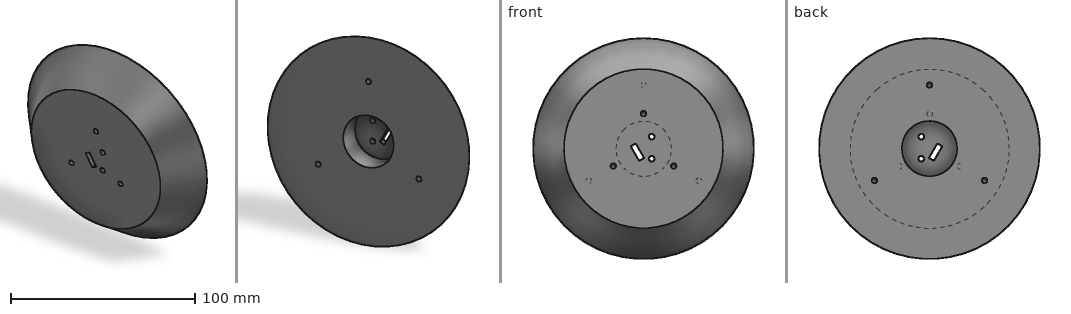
import cadquery as cq
import math

rim_diameter = 120.0
face_diameter = 86.4
thickness = 20.0
front_y = -thickness / 2
back_y = thickness / 2

pocket_diameter = 30.0
web_thickness = 4.5

drill_diameter = 3.0
drill_tip_angle = 118.0
drill_tip_length = drill_diameter / 2 / math.tan(math.radians(drill_tip_angle / 2))

screw_circle_radius = 19.0
screw_depth = 10.0

back_hole_circle_radius = 34.5
back_hole_tip_cover = 0.1

station_count = 3
station_angles = [90 + index * 360 / station_count for index in range(station_count)]

cable_hole_diameter = 3.0
cable_hole_x = 4.5
cable_hole_spacing = 12.0
cable_pair_z = 0.5

slot_length = 9.0
slot_width = 3.0
slot_offset = 3.8
slot_direction = 210.0


def polar(radius, angle):
    """X, Z position at a radius and an angle in degrees around the axis."""
    return radius * math.cos(math.radians(angle)), radius * math.sin(math.radians(angle))


def front_plane():
    """Plane on the front face: local x is X, local y is Z, normal points to -Y."""
    return cq.Workplane("XZ", origin=(0, front_y, 0))


def dish():
    """Solid truncated cone widening towards the back."""
    return (
        cq.Workplane("YZ")
        .moveTo(front_y, 0)
        .lineTo(front_y, face_diameter / 2)
        .lineTo(back_y, rim_diameter / 2)
        .lineTo(back_y, 0)
        .close()
        .revolve(360, (0, 0, 0), (1, 0, 0))
    )


def back_pocket():
    """Cylinder from the web to the back."""
    pocket_depth = thickness - web_thickness
    return cq.Workplane("XZ", origin=(0, back_y, 0)).circle(pocket_diameter / 2).extrude(pocket_depth)


def drill(depth):
    """Cylinder of the given depth along +Y from the origin, followed by a conical tip."""
    radius = drill_diameter / 2
    return (
        cq.Workplane("YZ")
        .lineTo(0, radius)
        .lineTo(depth, radius)
        .lineTo(depth + drill_tip_length, 0)
        .close()
        .revolve(360, (0, 0, 0), (1, 0, 0))
    )


def screw_hole(angle):
    """Blind hole drilled from the front face."""
    x, z = polar(screw_circle_radius, angle)
    return drill(screw_depth).translate((x, front_y, z))


def back_hole(angle):
    """Blind hole drilled from the back almost to the front face."""
    x, z = polar(back_hole_circle_radius, angle)
    depth = thickness - back_hole_tip_cover - drill_tip_length
    return drill(depth).mirror("XZ").translate((x, back_y, z))


def cable_holes():
    """Two round holes, one above the other."""
    centres = [(cable_hole_x, cable_pair_z + side * cable_hole_spacing / 2) for side in (-1, 1)]
    return front_plane().pushPoints(centres).circle(cable_hole_diameter / 2).extrude(-web_thickness)


def slot():
    """Rectangular slot with its long sides square to slot_direction."""
    return (
        front_plane()
        .center(*polar(slot_offset, slot_direction))
        .transformed(rotate=(0, 0, slot_direction))
        .rect(slot_width, slot_length)
        .extrude(-web_thickness)
    )


result = dish().cut(back_pocket()).cut(cable_holes()).cut(slot())
for station_angle in station_angles:
    result = result.cut(screw_hole(station_angle)).cut(back_hole(station_angle))